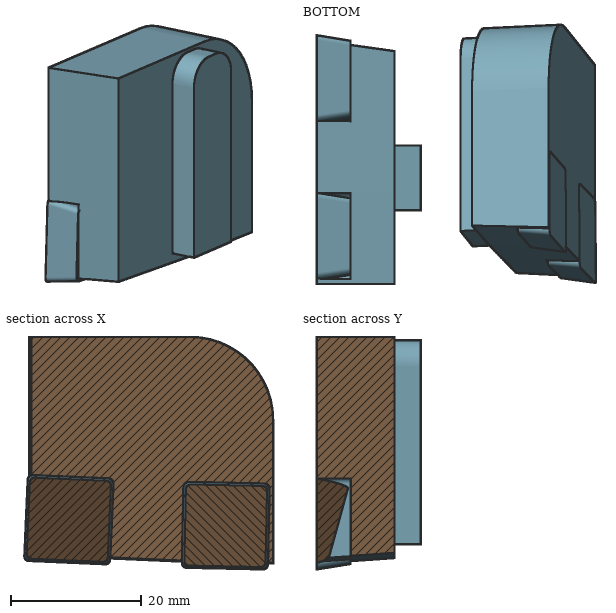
import cadquery as cq
import math


holder_thickness = 12.0
holder_length = 37.55
rear_height = 34.9
corner_radius = 12.83
front_relief = 8.0
bottom_relief = 4.0
bottom_bend = 14.0

key_depth = 4.02
key_width = 10.0
key_radius = 4.02
key_rear_gap = 11.35
key_top_gap = 0.55
key_height = 31.4

insert_size = 13.2
insert_thickness = 5.2
insert_corner_radius = 0.8
insert_relief = 9.0
rear_tilt = 1.2
front_tilt = 2.5

insert_seats = [
    (-7.3, -29.07, rear_tilt),
    (-31.45, -28.15, front_tilt),
]


def bottom_height(y):
    """Z of the two-slope bottom line on the X = 0 face."""
    rear_run = min(-y, bottom_bend)
    front_run = max(-y - bottom_bend, 0)
    rear_rise = rear_run * math.tan(math.radians(rear_tilt))
    front_rise = front_run * math.tan(math.radians(front_tilt))
    return -rear_height + rear_rise + front_rise


def make_block():
    blank = (
        cq.Workplane("YZ")
        .rect(-holder_length, -rear_height, centered=False)
        .extrude(holder_thickness)
    )
    blank = blank.edges("|X and >Y and >Z").fillet(corner_radius)
    return blank.cut(front_relief_wedge()).cut(bottom_waste())


def front_relief_wedge():
    setback = holder_thickness * math.tan(math.radians(front_relief))
    return (
        cq.Workplane("XY")
        .moveTo(0, -holder_length)
        .lineTo(holder_thickness, -holder_length)
        .lineTo(holder_thickness, -holder_length + setback)
        .close()
        .extrude(-rear_height)
    )


def bottom_waste():
    """Material under the bottom line, swept toward +X along the bottom relief angle."""
    floor = -rear_height - holder_thickness
    outline = cq.Wire.makePolygon(
        [
            cq.Vector(0, 0, bottom_height(0)),
            cq.Vector(0, -bottom_bend, bottom_height(-bottom_bend)),
            cq.Vector(0, -holder_length, bottom_height(-holder_length)),
            cq.Vector(0, -holder_length, floor),
            cq.Vector(0, 0, floor),
        ],
        close=True,
    )
    rise = holder_thickness * math.tan(math.radians(bottom_relief))
    return cq.Workplane(cq.Solid.extrudeLinear(outline, [], cq.Vector(holder_thickness, 0, rise)))


def make_key():
    key = (
        cq.Workplane("YZ", origin=(holder_thickness, -key_rear_gap, -key_top_gap))
        .rect(-key_width, -key_height, centered=False)
        .extrude(key_depth)
    )
    return key.faces(">Z").edges("|X").fillet(key_radius)


def insert_prism(seat, taper):
    """Rounded square of an insert, extruded from the X = 0 face with the given side taper."""
    center_y, center_z, tilt = seat
    prism = (
        cq.Workplane("YZ", origin=(0, center_y, center_z))
        .transformed(rotate=(0, 0, -tilt))
        .rect(insert_size, insert_size)
        .extrude(insert_thickness, taper=taper)
    )
    return prism.edges("not(<X or >X)").fillet(insert_corner_radius)


def make_holder():
    holder = make_block().union(make_key())
    for seat in insert_seats:
        holder = holder.cut(insert_prism(seat, taper=0))
    return holder


def make_insert(seat):
    return insert_prism(seat, taper=insert_relief)


holder = make_holder()
inserts = [make_insert(seat).val() for seat in insert_seats]

result = cq.Compound.makeCompound([holder.val(), *inserts])